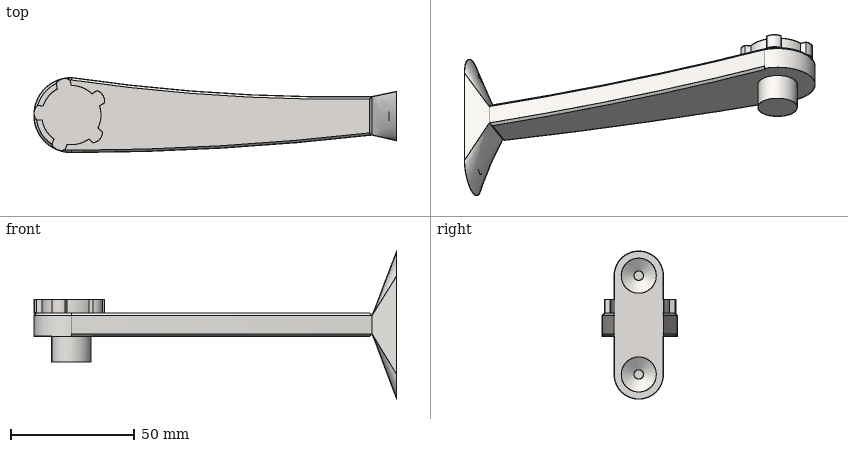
import math

import cadquery as cq

hub_radius = 15.22

arm_top = 4.9
arm_bottom = -4.6
arm_thickness = arm_top - arm_bottom
edge_chamfer = 1.0

stem_radius = 8.0
stem_bottom = -15.0

knob_height = 5.5
knob_radius = 12.0
lobe_count = 5
lobe_phase = 32.0
lobe_half_width = 2.9
lobe_shoulder = 14.0
lobe_tip = 15.1

part_length = 147.0
foot_depth = 10.0
foot_back = part_length - hub_radius
arm_end = foot_back - foot_depth
arm_end_left = 7.5
arm_end_right = -8.1
left_side_mid = (arm_end / 2, 8.9)
right_side_mid = (arm_end / 2, -13.4)

foot_height = 60.0
foot_width = 20.0
foot_centre_y = -0.4
foot_arc_height = (foot_height - foot_width) / 2

recess_mouth_radius = 7.1
recess_floor_radius = 1.9
recess_depth = 3.05


def make_hub():
    hub = (
        cq.Workplane("XY", origin=(0, 0, arm_bottom))
        .moveTo(0, hub_radius)
        .threePointArc((-hub_radius, 0), (0, -hub_radius))
        .close()
        .extrude(arm_thickness)
    )
    return hub.faces(">Z").edges("<X").chamfer(edge_chamfer)


def make_arm():
    arm = (
        cq.Workplane("XY", origin=(0, 0, arm_bottom))
        .moveTo(0, -hub_radius)
        .threePointArc(right_side_mid, (arm_end, arm_end_right))
        .lineTo(arm_end, arm_end_left)
        .threePointArc(left_side_mid, (0, hub_radius))
        .close()
        .extrude(arm_thickness)
    )
    return arm.faces("<Z or >Z").edges("not <X").chamfer(edge_chamfer)


def make_stem():
    return cq.Workplane("XY", origin=(0, 0, stem_bottom)).circle(stem_radius).extrude(arm_bottom - stem_bottom)


def make_lobe(angle):
    lobe = (
        cq.Workplane("XY", origin=(0, 0, arm_top))
        .moveTo(0, -lobe_half_width)
        .lineTo(lobe_shoulder, -lobe_half_width)
        .threePointArc((lobe_tip, 0), (lobe_shoulder, lobe_half_width))
        .lineTo(0, lobe_half_width)
        .close()
        .extrude(knob_height)
    )
    return lobe.rotate((0, 0, 0), (0, 0, 1), angle)


def make_knob():
    knob = cq.Workplane("XY", origin=(0, 0, arm_top)).circle(knob_radius).extrude(knob_height)
    for index in range(lobe_count):
        knob = knob.union(make_lobe(lobe_phase + index * 360 / lobe_count))
    return knob


def make_foot():
    root_bottom = arm_bottom + edge_chamfer
    root_top = arm_top - edge_chamfer
    root = (
        cq.Workplane("YZ", origin=(arm_end, 0, 0))
        .moveTo(arm_end_right, root_bottom)
        .lineTo(arm_end_right, root_top)
        .lineTo(arm_end_left, root_top)
        .lineTo(arm_end_left, root_bottom)
        .close()
    )
    half_width = foot_width / 2
    half_height = foot_height / 2
    back = (
        cq.Workplane("YZ", origin=(foot_back, foot_centre_y, 0))
        .moveTo(-half_width, -foot_arc_height)
        .lineTo(-half_width, foot_arc_height)
        .threePointArc((0, half_height), (half_width, foot_arc_height))
        .lineTo(half_width, -foot_arc_height)
        .threePointArc((0, -half_height), (-half_width, -foot_arc_height))
        .close()
    )
    return cq.Workplane(cq.Solid.makeLoft([root.val(), back.val()], True))


def make_recess(height):
    recess = cq.Solid.makeCone(
        recess_mouth_radius,
        recess_floor_radius,
        recess_depth,
        pnt=cq.Vector(foot_back, foot_centre_y, height),
        dir=cq.Vector(-1, 0, 0),
    )
    return cq.Workplane(recess)


result = make_hub().union(make_arm()).union(make_stem()).union(make_knob()).union(make_foot())
for recess_height in (foot_arc_height, -foot_arc_height):
    result = result.cut(make_recess(recess_height))